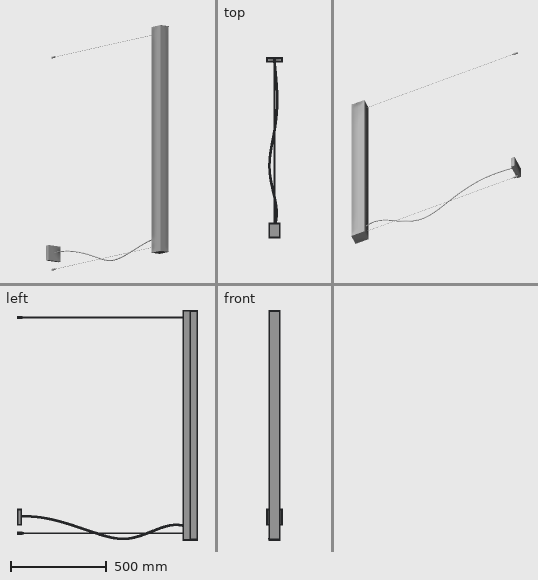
import cadquery as cq


bar_width = 55.0
bar_depth = 75.0
bar_length = 1200.0
overall_depth = 940.3
mount_y = overall_depth - bar_depth

diffuser_depth = 38.0
diffuser_inset = 0.5
end_cap_thickness = 3.0

plate_size = 80.0
plate_thickness = 20.0
plate_z = -480.0

wire_offset_z = 564.0
wire_diameter = 1.5
grip_diameter = 10.0
grip_length = 22.0
nub_diameter = 5.0
nub_length = 8.0

cable_diameter = 5.0
embed = 2.0
cable_entry_rise = 3.0
cable_waypoints = [
    (11.5, 50.0, -521.0),
    (-5.0, 159.0, -553.0),
    (-26.4, 295.0, -593.0),
    (-2.0, 475.0, -557.5),
    (14.5, 655.0, -500.0),
    (7.0, 775.0, -478.0),
]
cable_start = (4.0, -embed, -525.0)
cable_end = (0.0, mount_y - plate_thickness + embed, plate_z + cable_entry_rise)


def rod(diameter, y_start, y_end, z):
    """Round rod parallel to Y in the plane X = 0."""
    plane = cq.Plane(origin=(0, y_start, z), xDir=(1, 0, 0), normal=(0, 1, 0))
    return cq.Workplane(plane).circle(diameter / 2).extrude(y_end - y_start)


def make_bar():
    """Full bar, with its front part thinned slightly between the end caps."""
    bar = cq.Workplane("XY").box(bar_width, bar_depth, bar_length)
    bar = bar.translate((0, -bar_depth / 2, 0))
    exposed_length = bar_length - 2 * end_cap_thickness
    seam_y = diffuser_depth - bar_depth
    front = cq.Workplane("XY").box(bar_width, diffuser_depth, exposed_length)
    front = front.translate((0, seam_y - diffuser_depth / 2, 0))
    core_depth = diffuser_depth - diffuser_inset
    core = cq.Workplane("XY").box(bar_width - 2 * diffuser_inset, core_depth, exposed_length)
    core = core.translate((0, seam_y - core_depth / 2, 0))
    return bar.cut(front.cut(core))


def make_plate():
    plate = cq.Workplane("XY").box(plate_size, plate_thickness, plate_size)
    return plate.translate((0, mount_y - plate_thickness / 2, plate_z))


def make_suspension(z):
    """Wire from the back of the bar to a stepped cylindrical grip."""
    grip_y = mount_y - grip_length
    wire = rod(wire_diameter, -embed, mount_y, z)
    nub = rod(nub_diameter, grip_y - nub_length, mount_y, z)
    grip = rod(grip_diameter, grip_y, mount_y, z)
    return grip.union(nub).union(wire)


def make_cable():
    """Slack cable swept along a smooth curve through its waypoints."""
    points = [cq.Vector(*point) for point in (cable_start, *cable_waypoints, cable_end)]
    centreline = cq.Edge.makeSpline(points)
    section_plane = cq.Plane(origin=cable_start, xDir=(0, 0, 1), normal=centreline.tangentAt(0).toTuple())
    path = cq.Workplane(cq.Wire.assembleEdges([centreline]))
    return cq.Workplane(section_plane).circle(cable_diameter / 2).sweep(path)


result = make_bar().union(make_plate()).union(make_cable())
for side in (-1, 1):
    result = result.union(make_suspension(side * wire_offset_z))